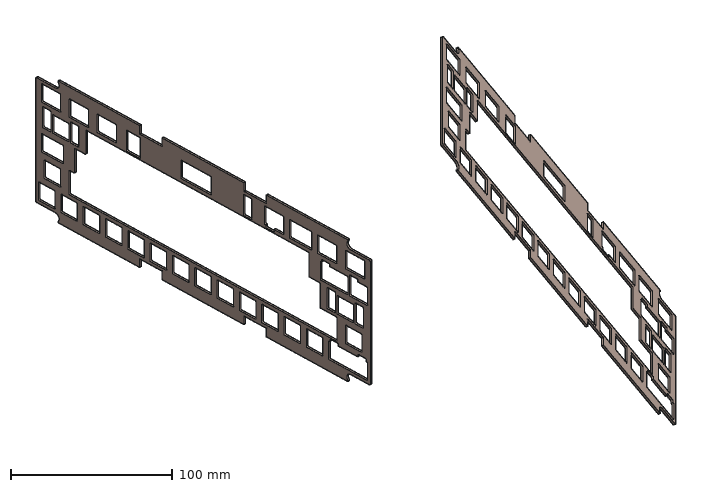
import cadquery as cq


KEY_UNIT = 19.05
COLUMNS = 15
ROWS = 5
THICKNESS = 1.5

BODY_WIDTH = COLUMNS * KEY_UNIT
BODY_HEIGHT = ROWS * KEY_UNIT
BODY_CORNER_RADIUS = 1.0
TAB_HEIGHT = 6.5
CENTRE_TAB_HALF_WIDTH = 35.0
SIDE_TAB_INNER_X = 54.0
SIDE_TAB_OUTER_X = 6.5 * KEY_UNIT
RELIEF_RADIUS = TAB_HEIGHT / 2
RELIEF_DEPTH = 1.0
RELIEF_X = SIDE_TAB_OUTER_X - RELIEF_DEPTH + RELIEF_RADIUS
RELIEF_Z = BODY_HEIGHT / 2 + RELIEF_RADIUS

SWITCH_SIZE = 14.0
STABILIZER_WIDTH = 7.0
STABILIZER_SHORT_REACH = 7.0
STABILIZER_LONG_REACH = 9.0
STABILIZER_OFFSET = 11.938
LONG_SPACE_STABILIZER_OFFSET = 57.15
SHORT_SPACE_STABILIZER_OFFSET = 50.0
CUTOUT_CORNER_RADIUS = 0.5

NUMBER_ROW, TAB_ROW, CAPS_ROW, SHIFT_ROW, SPACE_ROW = range(ROWS)

SINGLE_NUMBER_KEYS = 13
SWITCH_SLOTS = {
    NUMBER_ROW: [(i + 0.5,) for i in range(SINGLE_NUMBER_KEYS)] + [(13.5, 14.5)],
    TAB_ROW: [(0.75,), (14.25,)],
    CAPS_ROW: [(0.625, 0.875), (13.875,)],
    SHIFT_ROW: [(1.125,), (13.125, 13.625), (14.5,)],
    SPACE_ROW: [
        (0.625, 0.75), (1.875, 2.0), (3.125, 3.25), (6.875, 7.5),
        (10.625, 10.75), (11.75, 12.0), (13.0, 13.125), (14.25, 14.375),
    ],
}

STABILIZED_KEYS = [
    (NUMBER_ROW, 14.0, STABILIZER_OFFSET),
    (CAPS_ROW, 13.875, STABILIZER_OFFSET),
    (SHIFT_ROW, 1.125, STABILIZER_OFFSET),
    (SHIFT_ROW, 13.625, STABILIZER_OFFSET),
    (SPACE_ROW, 6.875, SHORT_SPACE_STABILIZER_OFFSET),
    (SPACE_ROW, 7.5, LONG_SPACE_STABILIZER_OFFSET),
]

OPENING_ENDS = {
    TAB_ROW: (1.5, 13.5),
    CAPS_ROW: (1.75, 12.75),
    SHIFT_ROW: (2.25, 12.25),
}

OPENING_MARGIN = 0.5
OPENING_HEIGHT = len(OPENING_ENDS) * KEY_UNIT - 2 * OPENING_MARGIN


def column_x(units):
    return units * KEY_UNIT - BODY_WIDTH / 2


def row_z(row):
    return (row + 0.5) * KEY_UNIT - BODY_HEIGHT / 2


def block(left, right, bottom, top):
    """A plate-thick block, centred on Y = 0."""
    return cq.Workplane("XY").box(right - left, THICKNESS, top - bottom).translate(
        ((left + right) / 2, 0, (bottom + top) / 2)
    )


def mirrored_copies(shape):
    """The shape together with its mirror images across X = 0 and Z = 0."""
    pair = shape.union(shape.mirror("YZ"))
    return pair.union(pair.mirror("XY"))


def make_side_tab():
    """The upper right tab, its outer end undercut by an arc that runs out along the body edge."""
    root = BODY_HEIGHT / 2
    tab = block(SIDE_TAB_INNER_X, SIDE_TAB_OUTER_X, 0, root + TAB_HEIGHT)
    foot = block(SIDE_TAB_INNER_X, RELIEF_X, 0, RELIEF_Z)
    relief = (
        cq.Workplane("XZ").center(RELIEF_X, RELIEF_Z).circle(RELIEF_RADIUS)
        .extrude(THICKNESS / 2, both=True)
    )
    return tab.union(foot).cut(relief)


def make_outline():
    plate = block(-BODY_WIDTH / 2, BODY_WIDTH / 2, -BODY_HEIGHT / 2, BODY_HEIGHT / 2)
    plate = plate.edges("|Y").fillet(BODY_CORNER_RADIUS)
    tab_end = BODY_HEIGHT / 2 + TAB_HEIGHT
    centre_tabs = block(-CENTRE_TAB_HALF_WIDTH, CENTRE_TAB_HALF_WIDTH, -tab_end, tab_end)
    return plate.union(centre_tabs).union(mirrored_copies(make_side_tab()))


def rounded(cutout):
    return cutout.edges("|Y").fillet(CUTOUT_CORNER_RADIUS)


def make_switch_slot(row, centres):
    half = SWITCH_SIZE / 2
    z = row_z(row)
    left = column_x(min(centres)) - half
    right = column_x(max(centres)) + half
    return rounded(block(left, right, z - half, z + half))


def make_stabilizer(row, x):
    """The long end points up, except in the space row, where it points down."""
    z = row_z(row)
    if row == SPACE_ROW:
        bottom, top = z - STABILIZER_LONG_REACH, z + STABILIZER_SHORT_REACH
    else:
        bottom, top = z - STABILIZER_SHORT_REACH, z + STABILIZER_LONG_REACH
    half = STABILIZER_WIDTH / 2
    return rounded(block(x - half, x + half, bottom, top))


def make_opening():
    opening = None
    for row, (left, right) in OPENING_ENDS.items():
        z = row_z(row)
        step = block(column_x(left), column_x(right), z - KEY_UNIT / 2, z + KEY_UNIT / 2)
        opening = step if opening is None else opening.union(step)
    half_height = OPENING_HEIGHT / 2
    band = block(-BODY_WIDTH / 2, BODY_WIDTH / 2, -half_height, half_height)
    return rounded(opening.intersect(band))


cutouts = [make_opening()]
for row, slots in SWITCH_SLOTS.items():
    for centres in slots:
        cutouts.append(make_switch_slot(row, centres))
for row, centre, offset in STABILIZED_KEYS:
    for side in (-1, 1):
        cutouts.append(make_stabilizer(row, column_x(centre) + side * offset))

plate = make_outline().val().cut(*[cutout.val() for cutout in cutouts])
result = cq.Workplane("XY").newObject(plate.Solids())